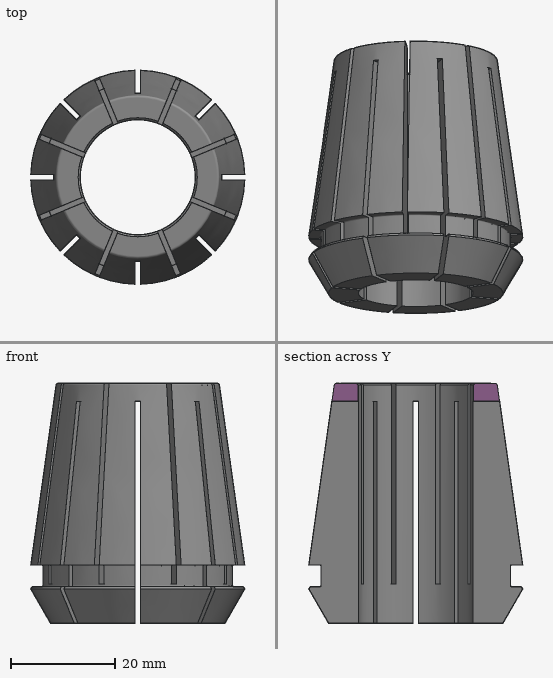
import cadquery as cq
import math

length = 46.0
max_radius = 41.0 / 2
bore_radius = 22.0 / 2

taper_half_angle = 8.0
taper_bottom_z = 11.15
taper_top_radius = max_radius - (length - taper_bottom_z) * math.tan(math.radians(taper_half_angle))
top_edge_round = 0.5

groove_radius = 18.15
groove_corner_round = 0.2
collar_top_z = 7.05
collar_rim_z = 6.6
collar_top_radius = 20.2
collar_half_angle = 30.0
bottom_radius = max_radius - collar_rim_z * math.tan(math.radians(collar_half_angle))

bore_chamfer = 0.4

slots_per_end = 8
slot_pitch = 360.0 / slots_per_end
slot_width = 1.0
bottom_slot_end_z = 42.5
top_slot_floor_z = 7.5
slot_overrun = 1.0
blade_length = max_radius + slot_overrun


def make_body():
    """Solid of revolution about Z, with the top outer edge and the groove corners rounded."""
    round_in = groove_corner_round
    profile = (
        cq.Workplane("XZ")
        .moveTo(0, 0)
        .lineTo(bottom_radius, 0)
        .lineTo(max_radius, collar_rim_z)
        .lineTo(collar_top_radius, collar_top_z)
        .lineTo(groove_radius + round_in, collar_top_z)
        .tangentArcPoint((-round_in, round_in))
        .lineTo(groove_radius, taper_bottom_z - round_in)
        .tangentArcPoint((round_in, round_in))
        .lineTo(max_radius, taper_bottom_z)
        .lineTo(taper_top_radius, length)
        .lineTo(0, length)
        .close()
    )
    body = profile.revolve(360, (0, 0, 0), (0, 1, 0))
    return body.faces(">Z").edges().fillet(top_edge_round)


def cut_bore(body):
    """Through bore with a chamfered mouth at the top."""
    bored = body.cut(cq.Workplane("XY").circle(bore_radius).extrude(length))
    mouth_edge = bored.faces(">Z").edges(cq.selectors.RadiusNthSelector(0))
    return mouth_edge.chamfer(bore_chamfer)


def cut_slots(body, first_angle, bottom_z, top_z):
    """Radial slots from the bore out through the wall, evenly spaced about Z."""
    blade = (
        cq.Workplane("XY", origin=(0, 0, bottom_z))
        .rect(blade_length, slot_width)
        .extrude(top_z - bottom_z)
        .translate((blade_length / 2, 0, 0))
    )
    for index in range(slots_per_end):
        angle = first_angle + index * slot_pitch
        body = body.cut(blade.rotate((0, 0, 0), (0, 0, 1), angle))
    return body


collet = cut_bore(make_body())
collet = cut_slots(collet, 0, 0, bottom_slot_end_z)
result = cut_slots(collet, slot_pitch / 2, top_slot_floor_z, length)